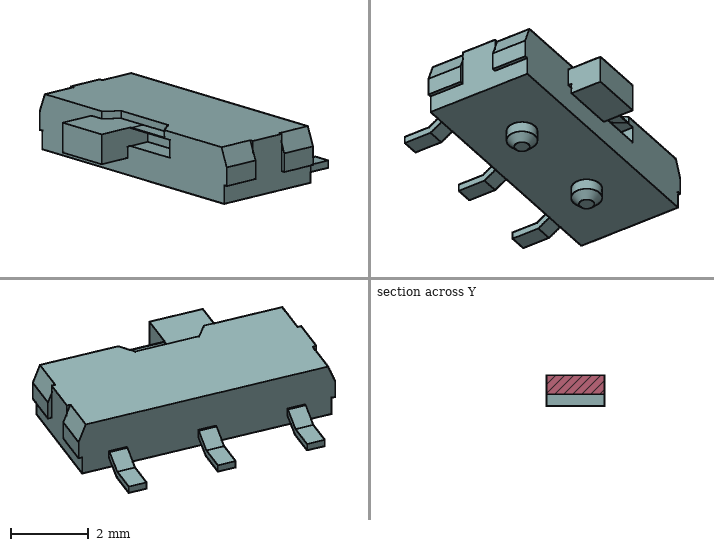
import cadquery as cq

body_length = 7.0
body_width = 3.0
body_height = 1.5
front_y = -body_width / 2
back_y = body_width / 2

overall_length = 7.2
clip_width = 1.0
clip_bottom_z = 0.5
clip_bend_z = 1.0
clip_top_length = 6.8

cover_thickness = 0.2
cover_bottom_z = body_height - cover_thickness
notch_mouth_length = 2.4
notch_back_length = 1.8
notch_depth = 0.4

slot_length = 3.0
slot_center_x = -0.1
slot_bottom_z = 0.8
slot_depth = 0.6
slot_roof_thickness = 0.02
slot_left_x = slot_center_x - slot_length / 2

actuator_length = slot_length / 2
actuator_reach = 1.0
actuator_bottom_z = 0.5
actuator_step_gap = 0.1

peg_spacing = 3.0
peg_diameter = 0.8
peg_height = 0.5
peg_chamfer = 0.2

terminal_pitch = 2.5
terminal_count = 3
terminal_width = 0.5
terminal_thickness = 0.2
terminal_reach = 1.3
terminal_top_z = 0.5
terminal_ramp = 0.5
terminal_bend_shift = 0.05


def block(x_min, x_max, y_min, y_max, z_min, z_max):
    """Axis-aligned box between the given limits."""
    size = (x_max - x_min, y_max - y_min, z_max - z_min)
    return cq.Workplane("XY").box(*size, centered=False).translate((x_min, y_min, z_min))


def make_body():
    """Plain block cut down to the clip outline at its four corners."""
    core = cq.Workplane("XY").box(body_length, body_width, body_height, centered=(True, True, False))
    corner_profile = [
        (body_length / 2, 0),
        (body_length / 2, clip_bottom_z),
        (overall_length / 2, clip_bottom_z),
        (overall_length / 2, clip_bend_z),
        (clip_top_length / 2, body_height),
    ]
    mirrored_profile = [(-x, z) for x, z in reversed(corner_profile)]
    clipped_block = (
        cq.Workplane("XZ")
        .polyline(corner_profile + mirrored_profile)
        .close()
        .extrude(body_width / 2, both=True)
    )
    middle_width = body_width - 2 * clip_width
    middle_band = cq.Workplane("XY").box(
        overall_length, middle_width, body_height, centered=(True, True, False)
    )
    return clipped_block.cut(middle_band).union(core.intersect(middle_band))


def make_cover_notch():
    """Tapered cutter through the cover plate, open to the front."""
    notch_back_y = front_y + notch_depth
    outline = [
        (-notch_mouth_length / 2, front_y),
        (notch_mouth_length / 2, front_y),
        (notch_back_length / 2, notch_back_y),
        (-notch_back_length / 2, notch_back_y),
    ]
    return (
        cq.Workplane("XY")
        .workplane(offset=cover_bottom_z)
        .polyline(outline)
        .close()
        .extrude(cover_thickness)
    )


def make_slot():
    """Slot cutter, leaving a thin roof below the cover plate."""
    return block(
        slot_left_x,
        slot_left_x + slot_length,
        front_y,
        front_y + slot_depth,
        slot_bottom_z,
        cover_bottom_z - slot_roof_thickness,
    )


def make_actuator():
    """Bar filling one half of the slot, with a deeper knob in front of the body."""
    right_x = slot_left_x + actuator_length
    tip_y = front_y - actuator_reach
    bar = block(slot_left_x, right_x, tip_y, front_y + slot_depth, slot_bottom_z, cover_bottom_z)
    knob = block(
        slot_left_x, right_x, tip_y, front_y - actuator_step_gap, actuator_bottom_z, cover_bottom_z
    )
    return bar.union(knob)


def make_peg(x):
    """Round peg below the body with a chamfered tip."""
    return (
        cq.Workplane("XY")
        .center(x, 0)
        .circle(peg_diameter / 2)
        .extrude(-peg_height)
        .faces("<Z")
        .chamfer(peg_chamfer)
    )


def make_terminal(x):
    """Bent strip leaving the back face, ramping down to a flat foot at Z = 0."""
    tip_y = back_y + terminal_reach
    foot_y = back_y + terminal_ramp
    profile = [
        (back_y, terminal_top_z - terminal_thickness),
        (foot_y, 0),
        (tip_y, 0),
        (tip_y, terminal_thickness),
        (foot_y + terminal_bend_shift, terminal_thickness),
        (back_y + terminal_bend_shift, terminal_top_z),
        (back_y, terminal_top_z),
    ]
    return (
        cq.Workplane("YZ")
        .workplane(offset=x)
        .polyline(profile)
        .close()
        .extrude(terminal_width / 2, both=True)
    )


result = make_body().cut(make_cover_notch()).cut(make_slot()).union(make_actuator())

for side in (-1, 1):
    result = result.union(make_peg(side * peg_spacing / 2))

for index in range(terminal_count):
    terminal_x = (index - (terminal_count - 1) / 2) * terminal_pitch
    result = result.union(make_terminal(terminal_x))